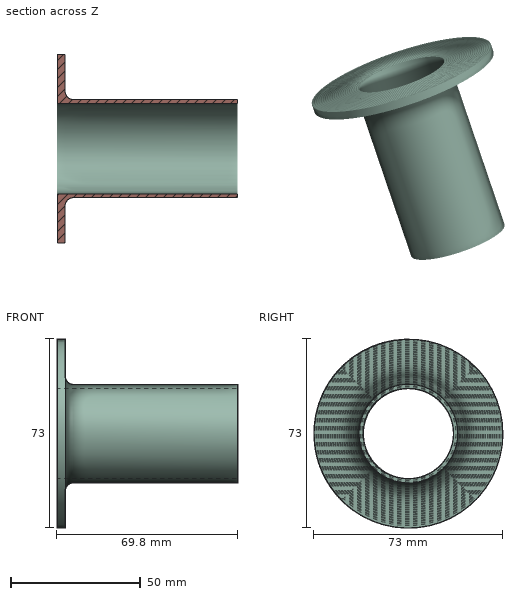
import cadquery as cq

length = 69.8
flange_diameter = 73
flange_thickness = 3.2
tube_diameter = 38.1
bore_diameter = 34.75
neck_fillet = 3.1

flange_radius = flange_diameter / 2
tube_radius = tube_diameter / 2
bore_radius = bore_diameter / 2

turns_across_face = 21.5
groove_width = 0.6
groove_depth = 0.1
spiral_rotation = -45
groove_pitch = (flange_radius - bore_radius) / turns_across_face

spiral_start_radius = bore_radius - groove_pitch
half_turns = round(2 * (turns_across_face + 2))


def make_body():
    """Flanged tube along X, with its sealing face at X = 0."""
    profile = (
        cq.Workplane("XY")
        .moveTo(0, bore_radius)
        .lineTo(0, flange_radius)
        .lineTo(flange_thickness, flange_radius)
        .lineTo(flange_thickness, tube_radius + neck_fillet)
        .radiusArc((flange_thickness + neck_fillet, tube_radius), -neck_fillet)
        .lineTo(length, tube_radius)
        .lineTo(length, bore_radius)
        .close()
    )
    return profile.revolve(360, (0, 0, 0), (1, 0, 0))


def make_spiral():
    """Tangent half circles around two alternating centres, growing half a pitch each time.

    Before it is rotated, the spiral starts on the -Z side and runs through +Y.
    """
    radius = spiral_start_radius
    z = -radius
    side = 1
    path = cq.Workplane("YZ").moveTo(0, z)
    for _ in range(half_turns):
        end_radius = radius + groove_pitch / 2
        arc_radius = (radius + end_radius) / 2
        z_end = side * end_radius
        path = path.threePointArc((side * arc_radius, (z + z_end) / 2), (0, z_end))
        radius = end_radius
        z = z_end
        side = -side
    return path


def make_groove():
    """Solid with the section of a circular segment, swept along the spiral."""
    section = (
        cq.Workplane("XZ")
        .moveTo(0, -spiral_start_radius - groove_width / 2)
        .threePointArc((groove_depth, -spiral_start_radius), (0, -spiral_start_radius + groove_width / 2))
        .close()
    )
    groove = section.sweep(make_spiral())
    return groove.rotate((0, 0, 0), (1, 0, 0), spiral_rotation)


result = make_body().cut(make_groove())